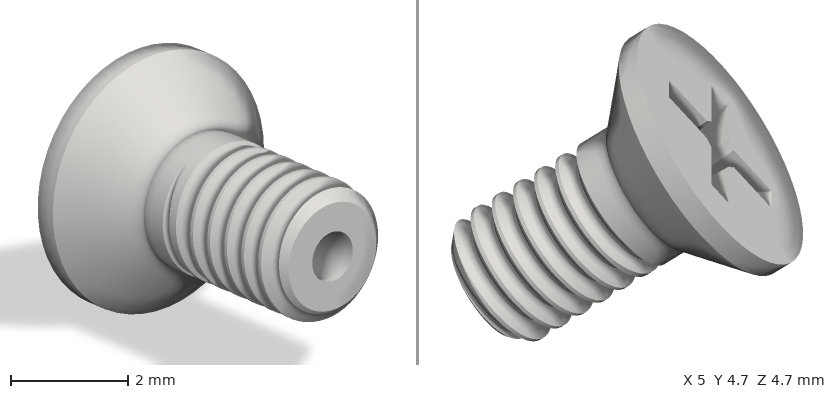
import cadquery as cq
import math

LENGTH = 5.0
HEAD_RADIUS = 2.35
RIM_THICKNESS = 0.4
SHANK_RADIUS = 1.25
BORE_RADIUS = 0.45

HEAD_HEIGHT = RIM_THICKNESS + HEAD_RADIUS - SHANK_RADIUS

SLOT_LENGTH = 2.9
SLOT_WIDTH = 0.49
SLOT_FLOOR_LENGTH = 0.85
SLOT_FLOOR_WIDTH = 0.25
SLOT_DEPTH = 1.5

PITCH = 0.45
THREAD_DEPTH = 0.275
ROOT_WIDTH = 0.06
FLANK_SLOPE = math.tan(math.radians(30))
ROOT_RADIUS = SHANK_RADIUS - THREAD_DEPTH
GROOVE_START = 2.2
LEAD_IN_TURNS = 0.4
CUTTER_CLEARANCE = 0.05
POINTS_PER_TURN = 20


def revolve_about_axis(profile):
    """Turned solid from (x, radius) points."""
    return cq.Workplane("XY").polyline(profile).close().revolve(360, (0, 0, 0), (1, 0, 0))


def make_head():
    """Flat rim followed by a 45 degree cone."""
    return revolve_about_axis([
        (0, 0),
        (0, HEAD_RADIUS),
        (RIM_THICKNESS, HEAD_RADIUS),
        (HEAD_HEIGHT, SHANK_RADIUS),
        (HEAD_HEIGHT, 0),
    ])


def make_end_chamfer():
    """Ring that cuts a 45 degree chamfer down to the thread root, extended past the screw."""
    reach = THREAD_DEPTH + CUTTER_CLEARANCE
    return revolve_about_axis([
        (LENGTH - reach, ROOT_RADIUS + reach),
        (LENGTH + CUTTER_CLEARANCE, ROOT_RADIUS - CUTTER_CLEARANCE),
        (LENGTH + CUTTER_CLEARANCE, ROOT_RADIUS + reach),
    ])


def make_slot(angle):
    """Tapered slot cutter, turned about the screw axis."""
    slot = (
        cq.Workplane("YZ")
        .rect(SLOT_LENGTH, SLOT_WIDTH)
        .workplane(offset=SLOT_DEPTH)
        .rect(SLOT_FLOOR_LENGTH, SLOT_FLOOR_WIDTH)
        .loft(ruled=True)
    )
    return slot.rotate((0, 0, 0), (1, 0, 0), angle)


def thread_point(turn, radius, axial_offset):
    """Point on a right-handed helix that passes through -Z at turn zero."""
    angle = 2 * math.pi * turn
    x = GROOVE_START + PITCH * turn + axial_offset
    return cq.Vector(x, radius * math.sin(angle), -radius * math.cos(angle))


def make_groove_section(first_turn, last_turn, first_lift, last_lift):
    """Solid thread cutter whose distance from the axis changes evenly by the given lifts."""
    steps = math.ceil((last_turn - first_turn) * POINTS_PER_TURN)
    height = THREAD_DEPTH + CUTTER_CLEARANCE
    root_half = ROOT_WIDTH / 2
    mouth_half = root_half + height * FLANK_SLOPE
    corners = [
        (ROOT_RADIUS, -root_half),
        (ROOT_RADIUS, root_half),
        (ROOT_RADIUS + height, mouth_half),
        (ROOT_RADIUS + height, -mouth_half),
    ]
    edges = []
    for radius, axial_offset in corners:
        points = []
        for step in range(steps + 1):
            share = step / steps
            turn = first_turn + share * (last_turn - first_turn)
            lift = first_lift + share * (last_lift - first_lift)
            points.append(thread_point(turn, radius + lift, axial_offset))
        edges.append(cq.Edge.makeSpline(points))

    faces = []
    for index, edge in enumerate(edges):
        faces.append(cq.Face.makeRuledSurface(edge, edges[index - 1]))
    for position in (0, 1):
        outline = cq.Wire.makePolygon([edge.positionAt(position) for edge in edges], close=True)
        faces.append(cq.Face.makeFromWires(outline))
    return cq.Solid.makeSolid(cq.Shell.makeShell(faces))


end_turn = (LENGTH - GROOVE_START) / PITCH + 1
lead_in = make_groove_section(-LEAD_IN_TURNS, 0, THREAD_DEPTH, 0)
full_groove = make_groove_section(0, end_turn, 0, 0)

shank = cq.Workplane("YZ", origin=(HEAD_HEIGHT, 0, 0)).circle(SHANK_RADIUS).extrude(LENGTH - HEAD_HEIGHT)
shank = shank.cut(cq.Workplane(full_groove)).cut(cq.Workplane(lead_in)).cut(make_end_chamfer())

result = make_head().union(shank)
for slot_angle in (0, 90):
    result = result.cut(make_slot(slot_angle))
bore = cq.Workplane("YZ").circle(BORE_RADIUS).extrude(LENGTH)
result = result.cut(bore)